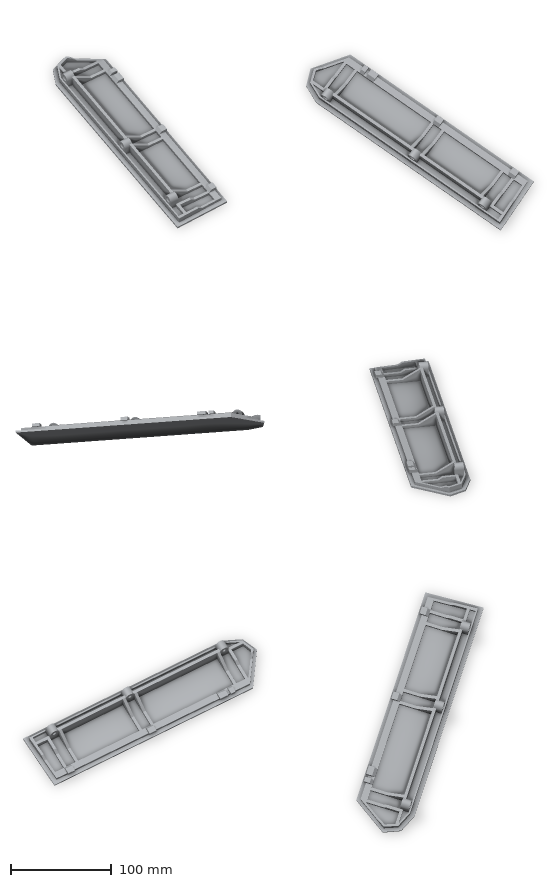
import cadquery as cq

length = 250.5
width = 59.9
plate_thickness = 2.0
plate_outline = [
    (0, 24.8),
    (7.0, 8.0),
    (25.0, 0),
    (length, 0),
    (247.7, width),
    (23.5, width),
]

tray_front = 4.5
tray_back = 55.9
tray_outline = [
    (4.0, 25.0),
    (9.3, 11.5),
    (25.3, tray_front),
    (246.2, tray_front),
    (243.2, tray_back),
    (24.8, tray_back),
]
back_height = 5.3
front_height = 8.0
slope_start = 32.5

wall_thickness = 3.0
spine_back = 15.0
spine_front = spine_back - wall_thickness
spine_height = 15.5
slope = (spine_height - back_height) / (slope_start - spine_back)
slope_end = slope_start - (front_height - back_height) / slope

pocket_back = 49.0
pocket_outline = [
    (6.5, 25.0),
    (10.3, spine_back),
    (243.0, spine_back),
    (241.2, pocket_back),
    (22.8, pocket_back),
]

trough_floor = 4.3
trough_front = 6.0
trough_right = 243.0
trough_outline = [
    (12.3, spine_front),
    (25.5, trough_front),
    (trough_right, trough_front),
    (trough_right, spine_front),
]

barrel_centers = [31.5, 138.0, 223.2]
barrel_radius = 5.0
overall_height = 18.0
barrel_axis_height = overall_height - barrel_radius
barrel_front = trough_front
bore_diameter = 3.5
counterbore_diameter = 6.0
counterbore_depth = 6.0

hooks = [(42.3, 5.0), (50.4, 9.0), (131.8, 7.5), (223.7, 7.5)]
hook_tip = 58.0
hook_top_front = 52.0
hook_top = 8.5


def prism(outline, bottom, top):
    """Vertical prism over an XY outline."""
    return cq.Workplane("XY").workplane(offset=bottom).polyline(outline).close().extrude(top - bottom)


def extrude_along_x(profile, start, distance):
    """Extrude a YZ profile in +X from the given X position."""
    return cq.Workplane("YZ").workplane(offset=start).polyline(profile).close().extrude(distance)


def box_between(low, high):
    """Box spanning two opposite corners."""
    size = [b - a for a, b in zip(low, high)]
    return cq.Workplane("XY").box(*size, centered=False).translate(low)


def make_tray():
    """Tray with a low back, a higher front and a short slope between, hollowed by two recesses."""
    profile = [
        (0, 0),
        (width, 0),
        (width, back_height),
        (slope_start, back_height),
        (slope_end, front_height),
        (0, front_height),
    ]
    tray = prism(tray_outline, 0, front_height).intersect(extrude_along_x(profile, 0, length))
    tray = tray.cut(prism(pocket_outline, plate_thickness, front_height))
    return tray.cut(prism(trough_outline, trough_floor, front_height))


def make_rib(start, is_end_rib):
    """Rib across the pocket; end ribs stop at the tray front height, the others climb to the spine top."""
    profile = [
        (spine_back, 0),
        (pocket_back, 0),
        (pocket_back, back_height),
        (slope_start, back_height),
    ]
    if is_end_rib:
        profile += [(slope_end, front_height), (spine_back, front_height)]
    else:
        profile.append((spine_back, spine_height))
    return extrude_along_x(profile, start, wall_thickness)


def make_barrel(center):
    """Round-topped hinge block reaching from the front of the trough to the back of the spine."""
    return (
        cq.Workplane("XZ", origin=(0, spine_back, 0))
        .moveTo(center - barrel_radius, 0)
        .lineTo(center - barrel_radius, barrel_axis_height)
        .threePointArc(
            (center, barrel_axis_height + barrel_radius),
            (center + barrel_radius, barrel_axis_height),
        )
        .lineTo(center + barrel_radius, 0)
        .close()
        .extrude(spine_back - barrel_front)
    )


def make_bore(center, diameter, depth):
    """Horizontal bore cutter entering a barrel from its front face."""
    return (
        cq.Workplane("XZ", origin=(center, barrel_front, barrel_axis_height))
        .circle(diameter / 2)
        .extrude(-depth)
    )


def make_hook(start, hook_length):
    """Hook with a ramped front edge and a tip overhanging the plate border."""
    profile = [
        (pocket_back, back_height),
        (hook_tip, back_height),
        (hook_tip, hook_top),
        (hook_top_front, hook_top),
    ]
    return extrude_along_x(profile, start, hook_length)


result = prism(plate_outline, 0, plate_thickness).union(make_tray())

result = result.union(
    box_between(
        (barrel_centers[0], spine_front, 0),
        (barrel_centers[-1], spine_back, spine_height),
    )
)

for center in barrel_centers:
    left_rib = center - barrel_radius - wall_thickness
    right_rib = center + barrel_radius
    result = result.union(make_rib(left_rib, center == barrel_centers[0]))
    result = result.union(make_rib(right_rib, center == barrel_centers[-1]))
    result = result.union(make_barrel(center))

for center in barrel_centers:
    result = result.cut(make_bore(center, bore_diameter, spine_back - barrel_front))
    result = result.cut(make_bore(center, counterbore_diameter, counterbore_depth))

for start, hook_length in hooks:
    result = result.union(make_hook(start, hook_length))